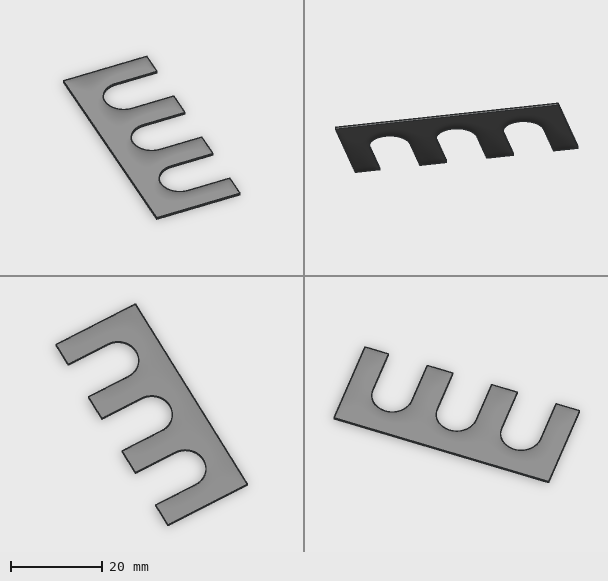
import cadquery as cq

length = 50.0
depth = 20.0
thickness = 0.5

slot_count = 3
slot_width = 9.0
slot_pitch = 15.0
slot_center_y = depth / 2


def slot_cutter(center_x):
    """Straight slot with a round front end, running out of the back edge."""
    radius = slot_width / 2
    return (
        cq.Workplane("XY")
        .moveTo(center_x - radius, depth)
        .lineTo(center_x - radius, slot_center_y)
        .threePointArc(
            (center_x, slot_center_y - radius),
            (center_x + radius, slot_center_y),
        )
        .lineTo(center_x + radius, depth)
        .close()
        .extrude(thickness)
    )


result = cq.Workplane("XY").box(length, depth, thickness, centered=False)

first_slot_x = (length - (slot_count - 1) * slot_pitch) / 2
for index in range(slot_count):
    result = result.cut(slot_cutter(first_slot_x + index * slot_pitch))